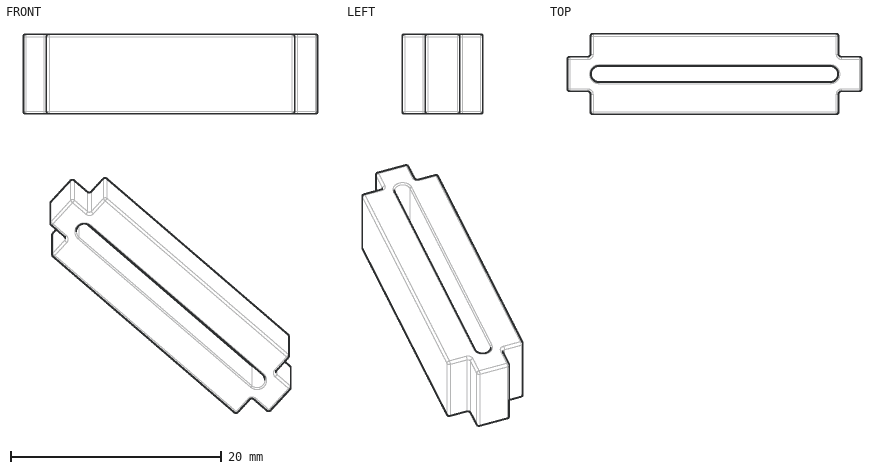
import cadquery as cq

overall_length = 28.0
body_length = 23.6
body_width = 7.7
tab_width = 3.3
height = 7.6

edge_radius = 0.25

slot_length = 23.5
slot_width = 1.5
rim_radius = 0.15


def make_block():
    """Body with a narrower tab at each end, rounded on every edge."""
    body = cq.Workplane("XY").box(body_length, body_width, height, centered=(True, True, False))
    tabs = cq.Workplane("XY").box(overall_length, tab_width, height, centered=(True, True, False))
    block = body.union(tabs)
    block = block.edges("|Z").fillet(edge_radius)
    return block.faces("<Z or >Z").edges().fillet(edge_radius)


def cut_slot(block):
    """Cut the long slot through the height and round both of its rims."""
    slot = cq.Workplane("XY").slot2D(slot_length, slot_width).extrude(height)
    rim_box = cq.selectors.BoxSelector(
        (-slot_length / 2 - rim_radius, -slot_width / 2 - rim_radius, -rim_radius),
        (slot_length / 2 + rim_radius, slot_width / 2 + rim_radius, height + rim_radius),
    )
    slotted = block.cut(slot)
    return slotted.faces("<Z or >Z").edges(rim_box).fillet(rim_radius)


result = cut_slot(make_block())